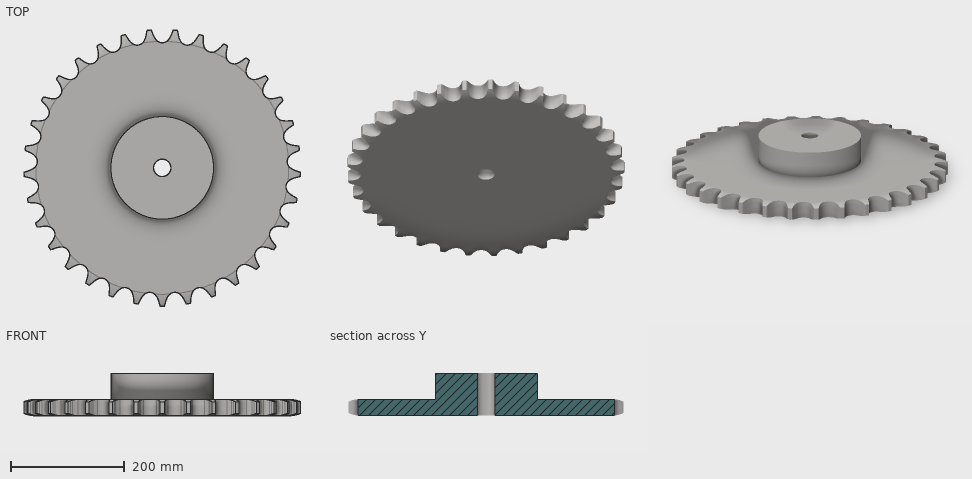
import cadquery as cq
import math

half_span = 243.0
total_height = 75.0
plate_thickness = 29.0
hub_diameter = 180.0
bore_diameter = 30.0

tooth_count = 33
root_diameter = 439.5
roller_diameter = 28.0
seat_radius = roller_diameter / 2
flat_length = 4.0
tip_land_angle = 1.7
side_relief_radius = 222.0
side_relief_depth = 4.5

seat_sweep = 90 - (35 + 60 / tooth_count)
working_sweep = 18 - 56 / tooth_count
working_radius = seat_radius + 0.8 * roller_diameter

tooth_angle = 360 / tooth_count

corner_offset = tooth_angle / 4 - tip_land_angle / 2
tip_radius = half_span / math.cos(math.radians(corner_offset))


def polar(radius, angle):
    """Point at the given radius and angle in degrees."""
    return radius * math.cos(math.radians(angle)), radius * math.sin(math.radians(angle))


def blank():
    """Plain disc whose two sides curve inward towards the rim, tangent to the flat faces."""
    relief_width = tip_radius - side_relief_radius
    relief_radius = (relief_width**2 + side_relief_depth**2) / (2 * side_relief_depth)
    half_sweep = math.atan2(side_relief_depth, relief_width)
    mid_radius = side_relief_radius + relief_radius * math.sin(half_sweep)
    mid_depth = relief_radius * (1 - math.cos(half_sweep))
    profile = (
        cq.Workplane("XZ")
        .lineTo(side_relief_radius, 0)
        .threePointArc((mid_radius, mid_depth), (tip_radius, side_relief_depth))
        .lineTo(tip_radius, plate_thickness - side_relief_depth)
        .threePointArc(
            (mid_radius, plate_thickness - mid_depth),
            (side_relief_radius, plate_thickness),
        )
        .lineTo(0, plate_thickness)
        .close()
    )
    return profile.revolve(360, (0, 0), (0, 1))


def step(start, distance, heading):
    """Point reached from start by a straight move along a heading in degrees from +X."""
    move = polar(distance, heading)
    return start[0] + move[0], start[1] + move[1]


def arc_point(start, heading, radius, sweep):
    """Point reached along an arc that starts on a heading and turns clockwise by the sweep."""
    chord = 2 * radius * math.sin(math.radians(sweep / 2))
    return step(start, chord, heading - sweep / 2)


def tooth_gap():
    """Cutter for the gap centred on +X, made of one half and its mirror image."""
    bottom = (root_diameter / 2, 0)
    seat_mid = arc_point(bottom, 90, seat_radius, seat_sweep / 2)
    seat_end = arc_point(bottom, 90, seat_radius, seat_sweep)

    seat_end_heading = 90 - seat_sweep
    working_mid = arc_point(seat_end, seat_end_heading, working_radius, working_sweep / 2)
    working_end = arc_point(seat_end, seat_end_heading, working_radius, working_sweep)

    flat_heading = seat_end_heading - working_sweep
    flat_end = step(working_end, flat_length, flat_heading)
    tip_corner = polar(tip_radius, (tooth_angle - tip_land_angle) / 2)
    run = tip_corner[0] - flat_end[0]
    rise = tip_corner[1] - flat_end[1]
    top_turn = math.atan2(rise, run) - math.radians(flat_heading)
    bulge = math.tan(top_turn / 2) / 2
    top_mid = (
        (flat_end[0] + tip_corner[0]) / 2 + bulge * rise,
        (flat_end[1] + tip_corner[1]) / 2 - bulge * run,
    )
    mouth_x = tip_radius + seat_radius
    half_gap = (
        cq.Workplane("XY")
        .moveTo(*bottom)
        .threePointArc(seat_mid, seat_end)
        .threePointArc(working_mid, working_end)
        .lineTo(*flat_end)
        .threePointArc(top_mid, tip_corner)
        .lineTo(mouth_x, tip_corner[1])
        .lineTo(mouth_x, 0)
        .close()
        .extrude(plate_thickness)
    )
    return half_gap.union(half_gap.mirror("XZ"))


def toothed_plate():
    """Disc with evenly spaced gaps, leaving one tooth centred on -Y."""
    plate = blank()
    gap = tooth_gap()
    for index in range(tooth_count):
        gap_angle = -90 + (index + 0.5) * tooth_angle
        plate = plate.cut(gap.rotate((0, 0, 0), (0, 0, 1), gap_angle))
    return plate


hub = cq.Workplane("XY").circle(hub_diameter / 2).extrude(total_height)
bore = cq.Workplane("XY").circle(bore_diameter / 2).extrude(total_height)

result = toothed_plate().union(hub).cut(bore)